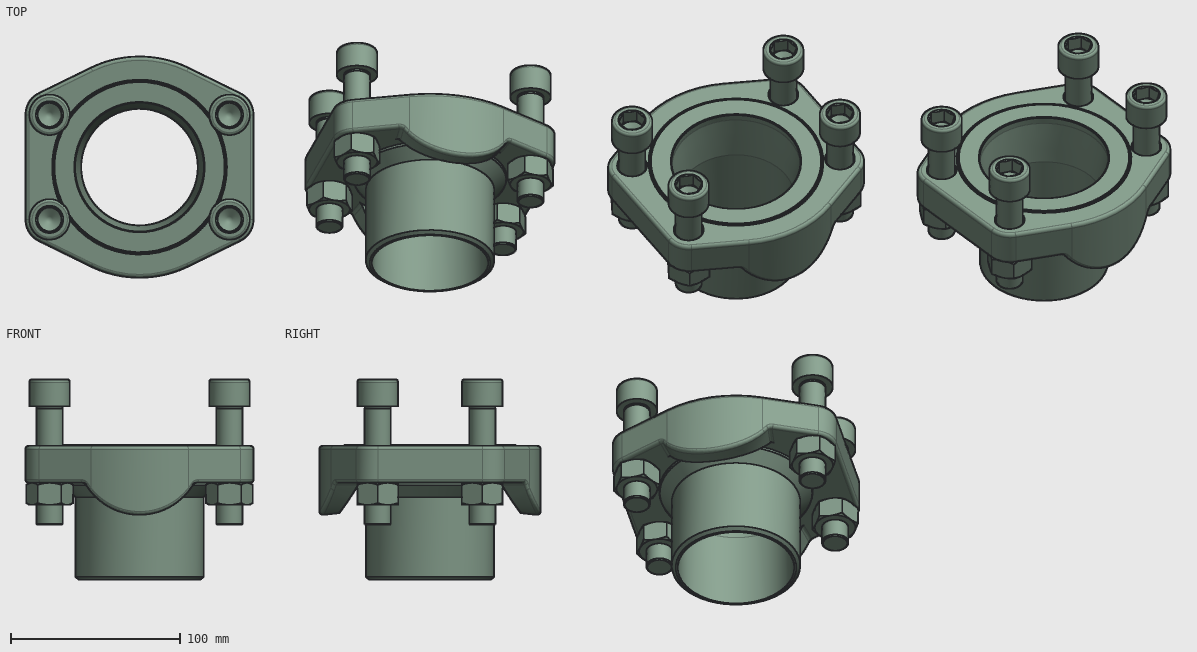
import cadquery as cq
import math

SCREW_X = 53.2
SCREW_Y = 30.9
FLANGE_HALF_LENGTH = 67.5
FLANGE_HALF_WIDTH = 65.5
PLATE_THICKNESS = 22.0
EDGE_FILLET = 2.2
SCREW_HOLE_DIAMETER = 17.0
SCREW_HOLE_CHAMFER = 0.4

HUB_RADIUS = 39.0
HUB_AXIS_Z = -2.2
HUB_DRAFT = 6.0
HUB_ROOT_FILLET = 2.7
HUB_INNER_RADIUS = 53.9
RECESS_DRAFT = 6.0

HEAD_SEAT_DIAMETER = 102.5
HEAD_SEAT_DEPTH = 9.6
HEAD_SEAT_CHAMFER = 0.5
NECK_HOLE_DIAMETER = 91.0

PIPE_HEAD_DIAMETER = 101.7
PIPE_HEAD_CHAMFER = 0.5
PIPE_PROTRUSION = 0.5
PIPE_NECK_DIAMETER = 90.0
PIPE_DIAMETER = 76.0
PIPE_SHOULDER_Z = -30.4
PIPE_BOTTOM_Z = -79.4
PIPE_BOTTOM_CHAMFER_WIDTH = 2.3
PIPE_BOTTOM_CHAMFER_HEIGHT = 1.8
PIPE_MOUTH_DIAMETER = 76.1
PIPE_MOUTH_CHAMFER = 0.5
PIPE_BORE_DIAMETER = 68.8
MOUTH_DEPTH = 4.5
TAPER_END_DEPTH = 30.6

SCREW_DIAMETER = 15.7
SCREW_TOP_Z = 39.3
SCREW_HEAD_DIAMETER = 24.0
SCREW_HEAD_HEIGHT = 16.0
SCREW_HEAD_FILLET = 1.6
SCREW_LENGTH = 70.0
SCREW_UNDERCUT_DIAMETER = 15.5
SCREW_UNDERCUT_LENGTH = 1.2
SCREW_TIP_DIAMETER = 14.3
SCREW_TIP_LENGTH = 0.8
SOCKET_WIDTH = 14.0
SOCKET_DEPTH = 8.8
SOCKET_TURN = 7.5
COUNTERSINK_ANGLE = 30.0
SOCKET_TIP_ANGLE = 120.0

NUT_WIDTH = 24.0
NUT_HEIGHT = 13.0
NUT_CHAMFER_ANGLE = 30.0
TOLERANCE = 0.001

HEXAGON_HALF_ANGLE = math.pi / 6

SCREW_POINTS = [(sx * SCREW_X, sy * SCREW_Y) for sx in (-1, 1) for sy in (-1, 1)]


def revolve_profile(points):
    """Solid of revolution about Z from (radius, z) points."""
    return cq.Workplane("XZ").polyline(points).close().revolve(360, (0, 0, 0), (0, 1, 0))


def cylinder(diameter, bottom_z, top_z):
    return cq.Workplane("XY").workplane(offset=bottom_z).circle(diameter / 2).extrude(top_z - bottom_z)


def flange_outline(plane_z):
    """Closed outline: two large end arcs and four corner arcs joined by tangent lines."""
    corner_radius = FLANGE_HALF_LENGTH - SCREW_X
    normal_angle = math.atan2(SCREW_Y, SCREW_X) + math.acos(
        (FLANGE_HALF_WIDTH - corner_radius) / math.hypot(SCREW_X, SCREW_Y)
    )
    nx, ny = math.cos(normal_angle), math.sin(normal_angle)
    arc_end = (FLANGE_HALF_WIDTH * nx, FLANGE_HALF_WIDTH * ny)
    corner_start = (SCREW_X + corner_radius * nx, SCREW_Y + corner_radius * ny)
    corner_middle = (
        SCREW_X + corner_radius * math.cos(normal_angle / 2),
        SCREW_Y + corner_radius * math.sin(normal_angle / 2),
    )
    corner_end = (FLANGE_HALF_LENGTH, SCREW_Y)

    def mirrored(point, sx, sy):
        return (sx * point[0], sy * point[1])

    outline = cq.Workplane("XY").workplane(offset=plane_z).moveTo(*mirrored(arc_end, -1, 1))
    for side in (1, -1):
        outline = (
            outline.threePointArc((0, side * FLANGE_HALF_WIDTH), mirrored(arc_end, side, side))
            .lineTo(*mirrored(corner_start, side, side))
            .threePointArc(mirrored(corner_middle, side, side), mirrored(corner_end, side, side))
            .lineTo(*mirrored(corner_end, side, -side))
            .threePointArc(mirrored(corner_middle, side, -side), mirrored(corner_start, side, -side))
            .lineTo(*mirrored(arc_end, side, -side))
        )
    return outline.close()


def fillet_rim(body):
    """Round every edge where the outer walls of the flange end, above and below."""
    wall_faces = [
        face for face in body.faces("not |Z").vals()
        if abs(face.BoundingBox().zmax) < TOLERANCE
    ]
    rim_edges = [edge for face in wall_faces for edge in cq.Workplane(face).edges("not |Z").vals()]
    return body.newObject(rim_edges).fillet(EDGE_FILLET)


def chamfered_hole(diameter, bottom_z, mouth_chamfer):
    """Cutter for a hole on the Z axis from the top of the plate down, with a chamfered mouth."""
    radius = diameter / 2
    return revolve_profile([
        (0, bottom_z),
        (radius, bottom_z),
        (radius, -mouth_chamfer),
        (radius + mouth_chamfer, 0),
        (0, 0),
    ])


def make_flange():
    hub_bottom_z = HUB_AXIS_Z - HUB_RADIUS
    prism = flange_outline(hub_bottom_z).extrude(-hub_bottom_z)
    plate = flange_outline(-PLATE_THICKNESS).extrude(PLATE_THICKNESS)

    hub_start = HUB_INNER_RADIUS / 2
    shrink = (FLANGE_HALF_WIDTH - hub_start) * math.tan(math.radians(HUB_DRAFT))
    hub = (
        cq.Workplane("XY")
        .polyline([
            (0, hub_start),
            (HUB_RADIUS - shrink, hub_start),
            (HUB_RADIUS, FLANGE_HALF_WIDTH),
            (0, FLANGE_HALF_WIDTH),
        ])
        .close()
        .revolve(360, (0, 0, 0), (0, 1, 0))
        .translate((0, 0, HUB_AXIS_Z))
        .intersect(prism)
    )
    body = plate.union(hub).union(hub.mirror("XZ"))

    body = body.edges("%HYPERBOLA").fillet(HUB_ROOT_FILLET)
    body = fillet_rim(body)

    recess_depth = -PLATE_THICKNESS - hub_bottom_z
    recess_top_radius = HUB_INNER_RADIUS - recess_depth * math.tan(math.radians(RECESS_DRAFT))
    recess = revolve_profile([
        (0, hub_bottom_z),
        (HUB_INNER_RADIUS, hub_bottom_z),
        (recess_top_radius, -PLATE_THICKNESS),
        (0, -PLATE_THICKNESS),
    ])
    neck_hole = cylinder(NECK_HOLE_DIAMETER, -PLATE_THICKNESS, 0)
    head_seat = chamfered_hole(HEAD_SEAT_DIAMETER, -HEAD_SEAT_DEPTH, HEAD_SEAT_CHAMFER)
    body = body.cut(recess).cut(neck_hole).cut(head_seat)
    screw_hole = chamfered_hole(SCREW_HOLE_DIAMETER, -PLATE_THICKNESS, SCREW_HOLE_CHAMFER)
    for x, y in SCREW_POINTS:
        body = body.cut(screw_hole.translate((x, y, 0)))
    return body


def make_pipe():
    radius = PIPE_DIAMETER / 2
    neck_radius = PIPE_NECK_DIAMETER / 2
    head_radius = PIPE_HEAD_DIAMETER / 2
    bore_radius = PIPE_BORE_DIAMETER / 2
    mouth_radius = PIPE_MOUTH_DIAMETER / 2
    cone_top_z = PIPE_SHOULDER_Z + (neck_radius - radius)
    top_z = PIPE_PROTRUSION
    return revolve_profile([
        (bore_radius, PIPE_BOTTOM_Z),
        (radius - PIPE_BOTTOM_CHAMFER_WIDTH, PIPE_BOTTOM_Z),
        (radius, PIPE_BOTTOM_Z + PIPE_BOTTOM_CHAMFER_HEIGHT),
        (radius, PIPE_SHOULDER_Z),
        (neck_radius, cone_top_z),
        (neck_radius, -HEAD_SEAT_DEPTH),
        (head_radius, -HEAD_SEAT_DEPTH),
        (head_radius, top_z - PIPE_HEAD_CHAMFER),
        (head_radius - PIPE_HEAD_CHAMFER, top_z),
        (mouth_radius + PIPE_MOUTH_CHAMFER, top_z),
        (mouth_radius, top_z - PIPE_MOUTH_CHAMFER),
        (mouth_radius, top_z - MOUTH_DEPTH),
        (bore_radius, top_z - TAPER_END_DEPTH),
    ])


def make_screw():
    """Socket head screw standing on the Z axis."""
    head_bottom_z = SCREW_TOP_Z - SCREW_HEAD_HEIGHT
    tip_z = head_bottom_z - SCREW_LENGTH
    head = cylinder(SCREW_HEAD_DIAMETER, head_bottom_z, SCREW_TOP_Z)
    head = head.faces(">Z").edges().fillet(SCREW_HEAD_FILLET)

    radius = SCREW_DIAMETER / 2
    undercut_radius = SCREW_UNDERCUT_DIAMETER / 2
    undercut_z = head_bottom_z - SCREW_UNDERCUT_LENGTH
    shank = revolve_profile([
        (0, tip_z),
        (SCREW_TIP_DIAMETER / 2, tip_z),
        (radius, tip_z + SCREW_TIP_LENGTH),
        (radius, undercut_z - (radius - undercut_radius)),
        (undercut_radius, undercut_z),
        (undercut_radius, head_bottom_z),
        (0, head_bottom_z),
    ])

    socket_floor_z = SCREW_TOP_Z - SOCKET_DEPTH
    socket = (
        cq.Workplane("XY")
        .workplane(offset=socket_floor_z)
        .polygon(6, SOCKET_WIDTH, circumscribed=True)
        .extrude(SOCKET_DEPTH)
        .rotate((0, 0, 0), (0, 0, 1), SOCKET_TURN)
    )
    tip_radius = SOCKET_WIDTH / 2
    tip_depth = tip_radius / math.tan(math.radians(SOCKET_TIP_ANGLE / 2))
    socket_tip = revolve_profile([
        (0, socket_floor_z - tip_depth),
        (tip_radius, socket_floor_z),
        (0, socket_floor_z),
    ])
    corner_radius = tip_radius / math.cos(HEXAGON_HALF_ANGLE)
    countersink = revolve_profile([
        (0, SCREW_TOP_Z),
        (corner_radius, SCREW_TOP_Z),
        (0, SCREW_TOP_Z - corner_radius * math.tan(math.radians(COUNTERSINK_ANGLE))),
    ])
    return head.union(shank).cut(socket).cut(socket_tip).cut(countersink)


def make_nut():
    """Hexagon nut on the Z axis with corners on X, tight under the plate."""
    top_z = -PLATE_THICKNESS
    bottom_z = top_z - NUT_HEIGHT
    hexagon = (
        cq.Workplane("XY")
        .workplane(offset=bottom_z)
        .polygon(6, NUT_WIDTH, circumscribed=True)
        .extrude(NUT_HEIGHT)
        .rotate((0, 0, 0), (0, 0, 1), math.degrees(HEXAGON_HALF_ANGLE))
    )
    flat_radius = NUT_WIDTH / 2
    corner_radius = flat_radius / math.cos(HEXAGON_HALF_ANGLE)
    chamfer_height = (corner_radius - flat_radius) * math.tan(math.radians(NUT_CHAMFER_ANGLE))
    turned_blank = revolve_profile([
        (0, bottom_z),
        (flat_radius, bottom_z),
        (corner_radius, bottom_z + chamfer_height),
        (corner_radius, top_z - chamfer_height),
        (flat_radius, top_z),
        (0, top_z),
    ])
    return hexagon.intersect(turned_blank).cut(cylinder(SCREW_DIAMETER, bottom_z, top_z))


flange = make_flange()
pipe = make_pipe()
screws = [make_screw().translate((x, y, 0)) for x, y in SCREW_POINTS]
nuts = [make_nut().translate((x, y, 0)) for x, y in SCREW_POINTS]

result = cq.Compound.makeCompound([
    flange.val(),
    pipe.val(),
    *[screw.val() for screw in screws],
    *[nut.val() for nut in nuts],
])